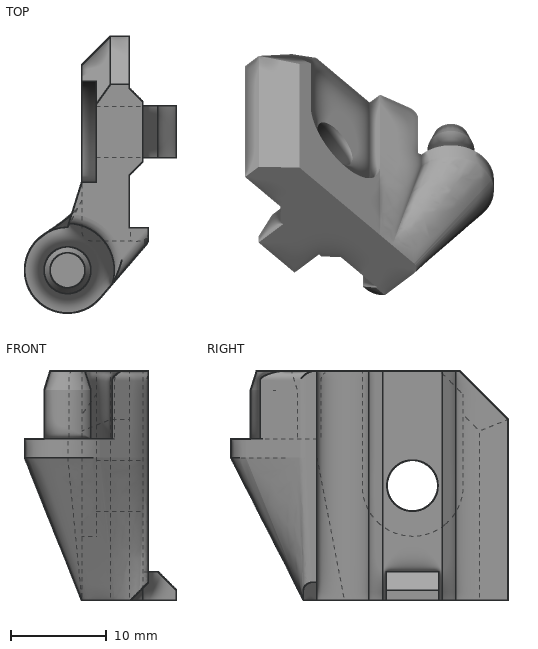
import cadquery as cq
import math

height = 24.0
length = 29.0

plate_left = 5.97
plate_right = 10.95
end_bevel = 3.02
top_bevel = 5.05
side_top_bevel = 9.28

pocket_width = 10.55
pocket_depth = 1.5
hole_diameter = 5.3
hole_y = 19.0
hole_z = height / 2
pocket_near_y = hole_y - pocket_width / 2

pad_thickness = 1.42
pad_width = 9.1
pad_face = plate_right + pad_thickness
tab_width = 5.48
tab_reach = 15.9
tab_height = 3.02
tab_bevel = 1.95

disc_radius = 4.5
disc_x = disc_radius
disc_y = disc_radius
disc_bottom = 14.94
disc_top = 16.9
pin_diameter = 4.9
pin_tip_diameter = 3.65
pin_taper_height = 2.0
clearance_radius = 4.9
rim_round = 1.0

flange_right = 12.95
flange_back_y = 8.95
flange_corner_y = 7.45
flange_round = 1.0
foot_near_y = 7.6
foot_side_y = 11.85
foot_corner_round = 1.0
foot_split_x = 9.42
flange_bevel = 1.88


def disc_point(angle):
    """Point on the disc rim at an angle in degrees from +X."""
    turn = math.radians(angle)
    return (disc_x + disc_radius * math.cos(turn), disc_y + disc_radius * math.sin(turn))


corner_dx = flange_right - disc_x
corner_dy = flange_corner_y - disc_y
corner_distance = math.hypot(corner_dx, corner_dy)
flange_angle = math.degrees(math.atan2(corner_dy, corner_dx) + math.asin(disc_radius / corner_distance))
tangent_angle = flange_angle + 270
rim_start_angle = 90
foot_arc_start_angle = 205
foot_arc_end_angle = 245


def add_flange_corner(sketch, corner_y, face_angle):
    """Rounded corner from a face at the given angle from +X into the flange's upright side."""
    center_x = flange_right - flange_round
    setback = flange_round * math.tan(math.radians(90 - face_angle) / 2)
    center_y = corner_y + setback
    start, middle = [
        (center_x + flange_round * math.cos(turn), center_y + flange_round * math.sin(turn))
        for turn in (math.radians(face_angle - 90), math.radians(face_angle - 90) / 2)
    ]
    return sketch.lineTo(*start).threePointArc(middle, (flange_right, center_y))


def rim_arc(sketch, start, end):
    return sketch.threePointArc(disc_point((start + end) / 2), disc_point(end))


def close_at_plate(sketch):
    """Finish an arm section along the flange back and inside the plate."""
    return (
        sketch.lineTo(flange_right, flange_back_y)
        .lineTo(plate_right, flange_back_y)
        .lineTo(plate_right, pocket_near_y)
        .close()
    )


def arm_section(level, rounded):
    """Full arm outline around the disc rim, with a rounded or a sharp flange corner."""
    sketch = cq.Workplane("XY", origin=(0, 0, level)).moveTo(plate_left, pocket_near_y)
    sketch = sketch.lineTo(*disc_point(rim_start_angle))
    sketch = rim_arc(sketch, rim_start_angle, foot_arc_start_angle)
    sketch = rim_arc(sketch, foot_arc_start_angle, foot_arc_end_angle)
    sketch = rim_arc(sketch, foot_arc_end_angle, tangent_angle)
    if rounded:
        sketch = add_flange_corner(sketch, flange_corner_y, flange_angle)
    else:
        sketch = sketch.lineTo(flange_right, flange_corner_y)
    return close_at_plate(sketch)


def foot_section():
    """Small rounded-corner outline of the arm at Z = 0."""
    corner_inset = foot_corner_round * (1 - math.sqrt(0.5))
    sketch = (
        cq.Workplane("XY")
        .moveTo(plate_left, pocket_near_y)
        .lineTo(plate_left, foot_side_y)
        .lineTo(plate_left, foot_near_y + foot_corner_round)
        .threePointArc(
            (plate_left + corner_inset, foot_near_y + corner_inset),
            (plate_left + foot_corner_round, foot_near_y),
        )
        .lineTo(foot_split_x, foot_near_y)
    )
    return close_at_plate(add_flange_corner(sketch, foot_near_y, 0))


def make_plate():
    return (
        cq.Workplane("XY")
        .polyline([
            (plate_left, pocket_near_y),
            (plate_left, length - end_bevel),
            (plate_left + end_bevel, length),
            (plate_right, length),
            (plate_right, pocket_near_y),
        ])
        .close()
        .extrude(height)
    )


def make_pad():
    half = pad_width / 2
    flat_half = half - pad_thickness
    return (
        cq.Workplane("XY")
        .polyline([
            (plate_right, hole_y - half),
            (pad_face, hole_y - flat_half),
            (pad_face, hole_y + flat_half),
            (plate_right, hole_y + half),
        ])
        .close()
        .extrude(height)
    )


def make_tab():
    return (
        cq.Workplane("XZ", origin=(0, hole_y + tab_width / 2, 0))
        .polyline([
            (plate_right, 0),
            (tab_reach, 0),
            (tab_reach, tab_height - tab_bevel),
            (tab_reach - tab_bevel, tab_height),
            (plate_right, tab_height),
        ])
        .close()
        .extrude(tab_width)
    )


def make_upper_arm():
    """Straight arm above the loft, cleared around the pin and rounded along its top rim."""
    arm_height = height - disc_bottom
    arm = arm_section(disc_bottom, rounded=False).extrude(arm_height)
    clearance = (
        cq.Workplane("XY", origin=(disc_x, disc_y, disc_top))
        .circle(clearance_radius)
        .extrude(height - disc_top)
    )
    arm = arm.cut(clearance)
    flange_middle = (flange_right - corner_dx / 4, flange_corner_y - corner_dy / 4, height)
    rim_offset = clearance_radius * math.sqrt(0.5)
    rim_middle = (disc_x + rim_offset, disc_y + rim_offset, height)
    rim_edges = arm.faces(">Z").edges(cq.selectors.NearestToPointSelector(rim_middle))
    flange_edge = arm.faces(">Z").edges(cq.selectors.NearestToPointSelector(flange_middle))
    arm = arm.newObject(rim_edges.vals() + flange_edge.vals()).fillet(rim_round)
    return arm.intersect(arm_section(disc_bottom, rounded=True).extrude(arm_height))


def make_lower_arm():
    """Ruled loft from the foot up to the full arm outline, bevelled under the flange."""
    sections = [foot_section().val(), arm_section(disc_bottom, rounded=True).val()]
    arm = cq.Workplane(cq.Solid.makeLoft(sections, True))
    bevel = (
        cq.Workplane("XZ", origin=(0, flange_back_y, 0))
        .polyline([
            (flange_right - flange_bevel, 0),
            (flange_right, 0),
            (flange_right, flange_bevel),
        ])
        .close()
        .extrude(flange_back_y)
    )
    return arm.cut(bevel)


def make_pin():
    """Pin standing on the disc, tapered at its tip."""
    straight_top = height - pin_taper_height
    return (
        cq.Workplane("XZ", origin=(disc_x, disc_y, 0))
        .polyline([
            (0, disc_bottom),
            (pin_diameter / 2, disc_bottom),
            (pin_diameter / 2, straight_top),
            (pin_tip_diameter / 2, height),
            (0, height),
        ])
        .close()
        .revolve(360, (0, 0, 0), (0, 1, 0))
    )


def make_pocket():
    """Round-bottomed pocket in the plate's outer face, open at the top."""
    face = cq.Workplane("YZ", origin=(plate_left, 0, 0))
    round_end = face.center(hole_y, hole_z).circle(pocket_width / 2).extrude(pocket_depth)
    channel = (
        face.center(hole_y, (hole_z + height) / 2)
        .rect(pocket_width, height - hole_z)
        .extrude(pocket_depth)
    )
    return round_end.union(channel)


def make_cross_hole():
    return (
        cq.Workplane("YZ", origin=(plate_left, hole_y, hole_z))
        .circle(hole_diameter / 2)
        .extrude(pad_face - plate_left)
    )


def bevel_triangle(x, leg):
    """Right triangle in the far top corner, in the upright plane at x."""
    return (
        cq.Workplane("YZ", origin=(x, 0, 0))
        .polyline([
            (length, height - leg),
            (length, height),
            (length - leg, height),
        ])
        .close()
    )


def make_top_bevel():
    """Even bevel beside the plate's right face, widening towards its left face."""
    bevel_x = plate_left + end_bevel
    even_part = bevel_triangle(bevel_x, top_bevel).extrude(plate_right - bevel_x)
    ends = [
        bevel_triangle(plate_left, side_top_bevel).val(),
        bevel_triangle(bevel_x, top_bevel).val(),
    ]
    return even_part.union(cq.Workplane(cq.Solid.makeLoft(ends, True)))


result = (
    make_plate()
    .union(make_pad())
    .union(make_tab())
    .union(make_upper_arm())
    .union(make_lower_arm())
    .union(make_pin())
    .cut(make_pocket())
    .cut(make_cross_hole())
    .cut(make_top_bevel())
)